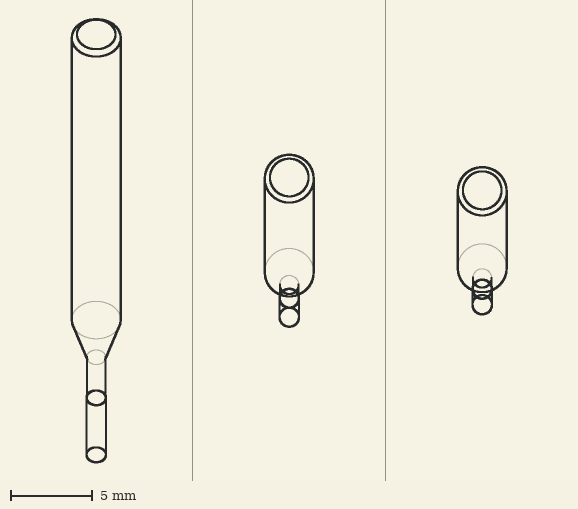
import cadquery as cq

TOTAL_LENGTH = 40.0
SHANK_DIAMETER = 3.0
NECK_DIAMETER = 1.15
CUTTER_DIAMETER = 1.2

TIP_HEIGHT = 0.2
CUTTER_LENGTH = 5.6
NECK_END = 9.45
TAPER_END = 12.95

CHAMFER_WIDTH = 0.3
CHAMFER_HEIGHT = 0.3


def revolve_profile(points):
    """Turn a half outline of (radius, height) points around the Z axis."""
    return cq.Workplane("XZ").polyline(points).close().revolve(360, (0, 0), (0, 1))


def make_cutter():
    """Cylindrical cutting end with a shallow conical tip."""
    radius = CUTTER_DIAMETER / 2
    return revolve_profile([
        (0, 0),
        (radius, TIP_HEIGHT),
        (radius, CUTTER_LENGTH),
        (0, CUTTER_LENGTH),
    ])


def make_shank():
    """Neck, taper and chamfered shank, resting on the flat end of the cutter."""
    neck_radius = NECK_DIAMETER / 2
    shank_radius = SHANK_DIAMETER / 2
    return revolve_profile([
        (0, CUTTER_LENGTH),
        (neck_radius, CUTTER_LENGTH),
        (neck_radius, NECK_END),
        (shank_radius, TAPER_END),
        (shank_radius, TOTAL_LENGTH - CHAMFER_HEIGHT),
        (shank_radius - CHAMFER_WIDTH, TOTAL_LENGTH),
        (0, TOTAL_LENGTH),
    ])


cutter = make_cutter()
shank = make_shank()

result = cq.Compound.makeCompound([cutter.val(), shank.val()])